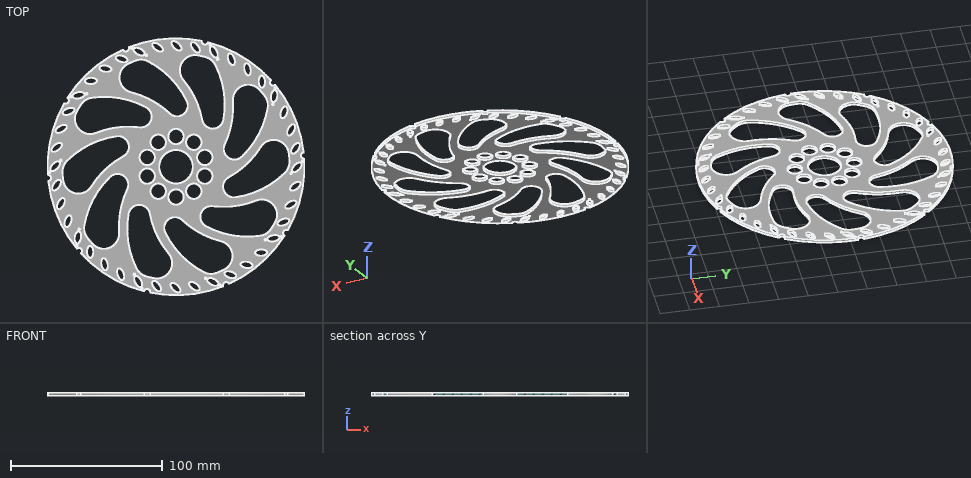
import cadquery as cq
import math

disc_radius = 85.0
thickness = 2.0
repeat_count = 10
pitch_angle = 360.0 / repeat_count

bore_diameter = 22.0
bolt_hole_diameter = 10.0
bolt_circle_radius = 20.0
bolt_start_angle = pitch_angle / 2

slot_count = 4 * repeat_count
slot_length = 8.0
slot_width = 3.95
slot_circle_radius = 79.9
slot_start_angle = -0.25
slot_tilt = 46.0

pin_hole_diameter = 1.0
pin_hole_offset = 5.4

notch_radius = 2.0
notch_angle = 5.0

window_outer_radius = 75.0
inner_end_radius = 7.0
inner_end_distance = 40.4
inner_end_angle = -19.0
corner_radius = 10.0
leading_corner_angle = 6.8
trailing_corner_angle = 2.8
flank_radius = 58.0


def polar(radius, angle):
    """Point at a radius and an angle in degrees."""
    return radius * math.cos(math.radians(angle)), radius * math.sin(math.radians(angle))


def toward(start, target, distance):
    """Point at a distance from start, along the line to target."""
    share = distance / math.dist(start, target)
    return tuple(a + share * (b - a) for a, b in zip(start, target))


def arc_middle(center, start, end):
    """Middle of the arc shorter than half a turn between two points about center."""
    chord_middle = ((start[0] + end[0]) / 2, (start[1] + end[1]) / 2)
    return toward(center, chord_middle, math.dist(center, start))


def left_circle_crossing(first, first_radius, second, second_radius):
    """Crossing of two circles that lies to the left of the line from first to second."""
    span = math.dist(first, second)
    along = (span**2 + first_radius**2 - second_radius**2) / (2 * span)
    across = math.sqrt(first_radius**2 - along**2)
    unit_x = (second[0] - first[0]) / span
    unit_y = (second[1] - first[1]) / span
    return (
        first[0] + along * unit_x - across * unit_y,
        first[1] + along * unit_y + across * unit_x,
    )


def around_axis(shape, count):
    """Copies of a cutting shape spaced evenly around the Z axis."""
    copies = cq.Workplane("XY")
    for index in range(count):
        copies = copies.add(shape.rotate((0, 0, 0), (0, 0, 1), index * 360.0 / count).vals())
    return copies


def make_window():
    axis = (0.0, 0.0)
    corner_distance = window_outer_radius - corner_radius
    inner_end = polar(inner_end_distance, inner_end_angle)
    leading_corner = polar(corner_distance, leading_corner_angle)
    trailing_corner = polar(corner_distance, trailing_corner_angle)

    concave_center = left_circle_crossing(
        inner_end,
        flank_radius + inner_end_radius,
        leading_corner,
        flank_radius + corner_radius,
    )
    convex_center = left_circle_crossing(
        inner_end,
        flank_radius - inner_end_radius,
        trailing_corner,
        flank_radius - corner_radius,
    )

    concave_inner = toward(concave_center, inner_end, flank_radius)
    concave_outer = toward(concave_center, leading_corner, flank_radius)
    rim_leading = polar(window_outer_radius, leading_corner_angle)
    rim_trailing = polar(window_outer_radius, trailing_corner_angle)
    convex_outer = toward(convex_center, trailing_corner, flank_radius)
    convex_inner = toward(convex_center, inner_end, flank_radius)

    inner_end_middle = toward(inner_end, leading_corner, -inner_end_radius)
    return (
        cq.Workplane("XY")
        .moveTo(*concave_inner)
        .threePointArc(arc_middle(concave_center, concave_inner, concave_outer), concave_outer)
        .threePointArc(arc_middle(leading_corner, concave_outer, rim_leading), rim_leading)
        .threePointArc(arc_middle(axis, rim_leading, rim_trailing), rim_trailing)
        .threePointArc(arc_middle(trailing_corner, rim_trailing, convex_outer), convex_outer)
        .threePointArc(arc_middle(convex_center, convex_outer, convex_inner), convex_inner)
        .threePointArc(inner_end_middle, concave_inner)
        .close()
        .extrude(thickness)
    )


def make_slot():
    return (
        cq.Workplane("XY")
        .center(*polar(slot_circle_radius, slot_start_angle))
        .ellipse(slot_length / 2, slot_width / 2, rotation_angle=slot_tilt)
        .extrude(thickness)
    )


def make_pin_holes():
    offset_x, offset_y = polar(pin_hole_offset, slot_tilt)
    return (
        cq.Workplane("XY")
        .center(*polar(slot_circle_radius, slot_start_angle))
        .pushPoints([(offset_x, offset_y), (-offset_x, -offset_y)])
        .circle(pin_hole_diameter / 2)
        .extrude(thickness)
    )


def make_notch():
    return (
        cq.Workplane("XY")
        .center(*polar(disc_radius, notch_angle))
        .circle(notch_radius)
        .extrude(thickness)
    )


def make_bolt_hole():
    return (
        cq.Workplane("XY")
        .center(*polar(bolt_circle_radius, bolt_start_angle))
        .circle(bolt_hole_diameter / 2)
        .extrude(thickness)
    )


disc = cq.Workplane("XY").circle(disc_radius).circle(bore_diameter / 2).extrude(thickness)

result = disc
result = result.cut(around_axis(make_bolt_hole(), repeat_count))
result = result.cut(around_axis(make_window(), repeat_count))
result = result.cut(around_axis(make_slot(), slot_count))
result = result.cut(around_axis(make_pin_holes(), repeat_count))
result = result.cut(around_axis(make_notch(), repeat_count))